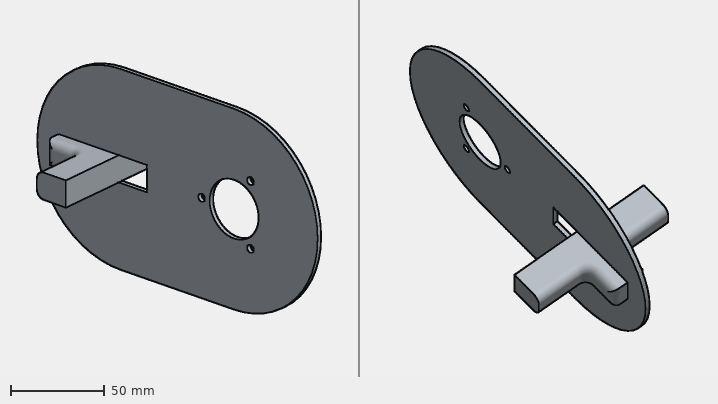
import cadquery as cq

plate_length = 198.0
plate_height = 118.0
plate_thickness = 3.0
end_center_x = (plate_length - plate_height) / 2

opening_diameter = 34.5
bolt_hole_diameter = 4.5
bolt_circle_radius = 23.0
bolt_hole_count = 3
first_bolt_angle = 180

slot_left = -84.0
slot_right = -21.5
slot_height = 16.0

bar_left = -62.0
bar_right = -41.4
bar_length = 90.0
stem_width = 23.5
handle_rounding = 5.0
pick_margin = 0.2


def box_between(x_min, x_max, depth, height):
    """Block from x_min to x_max, centred on the XZ and XY planes."""
    block = cq.Workplane("XY").box(x_max - x_min, depth, height)
    return block.translate(((x_min + x_max) / 2, 0, 0))


def make_plate():
    plate = (
        cq.Workplane("XZ")
        .slot2D(plate_length, plate_height)
        .extrude(plate_thickness / 2, both=True)
    )
    openings = (
        cq.Workplane("XZ")
        .center(end_center_x, 0)
        .circle(opening_diameter / 2)
        .polarArray(bolt_circle_radius, first_bolt_angle, 360, bolt_hole_count)
        .circle(bolt_hole_diameter / 2)
        .extrude(plate_thickness, both=True)
    )
    slot = box_between(slot_left, slot_right, 2 * plate_thickness, slot_height)
    return plate.cut(openings).cut(slot)


def make_handle():
    overlong_left = slot_left - handle_rounding
    overlong_stem = box_between(overlong_left, bar_right, stem_width, slot_height)
    bar = box_between(bar_left, bar_right, bar_length, slot_height)
    handle = bar.union(overlong_stem)

    inner_corners = cq.selectors.BoxSelector(
        (bar_left - pick_margin, -stem_width, -slot_height),
        (bar_left + pick_margin, stem_width, slot_height),
    )
    handle = handle.edges("|Z").edges(inner_corners).fillet(handle_rounding)

    bar_edges = cq.selectors.BoxSelector(
        (bar_left - pick_margin, -bar_length, -slot_height),
        (bar_left + pick_margin, bar_length, slot_height),
    )
    handle = handle.edges("|Y").edges(bar_edges).fillet(handle_rounding)

    trim = (
        box_between(slot_left, bar_right, stem_width, slot_height)
        .edges("|Z and <X")
        .fillet(handle_rounding)
        .union(box_between(bar_left - handle_rounding, bar_right, bar_length, slot_height))
    )
    return handle.intersect(trim)


result = make_plate().union(make_handle())